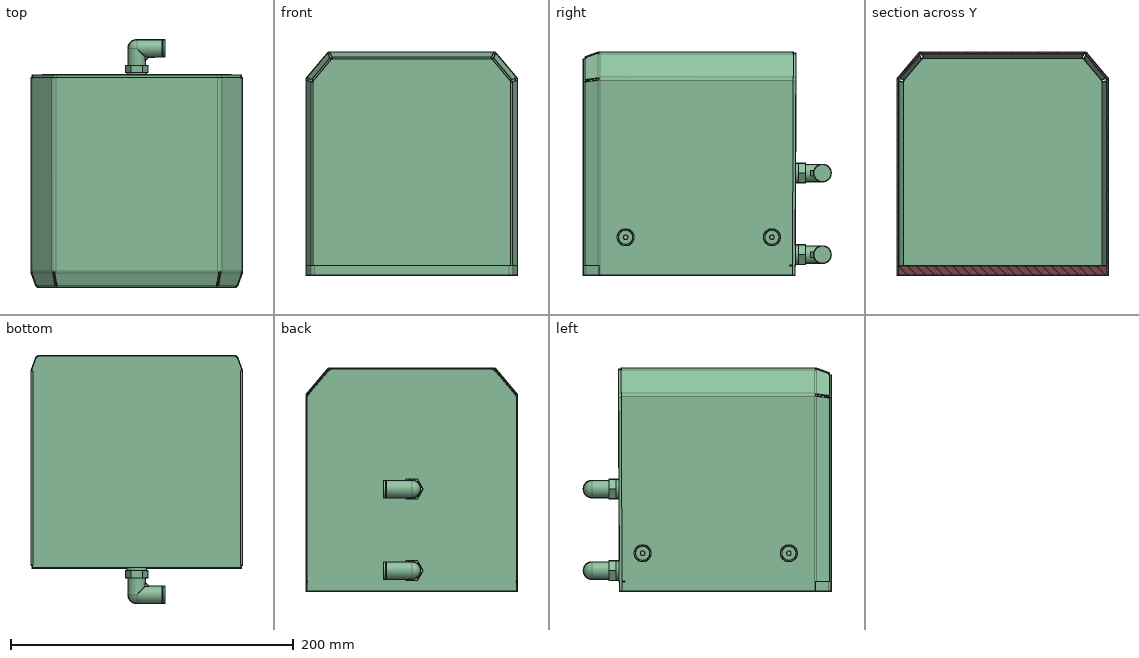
import cadquery as cq
import math

width = 150.0
height = 158.21
shoulder_width = 16.0
shoulder_height = 19.0
wall = 1.5

nose_depth = 11.0
nose_taper = 20.0
body_fillet = 4.0
nose_gap = 1.6
flap_setback = 1.1
front_panel_thickness = 2.5
strip_fillet = 3.0

floor_height = 7.0
cover_depth = 148.0
back_lean = 0.25
back_plate_thickness = 2.0
back_plate_inset = 1.0

recess_positions = (30.0, 133.5)
recess_z = 27.0
recess_diameter = 12.0
recess_floor_diameter = 10.0
recess_depth = 0.4
socket_diameter = 3.2
socket_depth = 1.3

slit_length = 1.7
slit_height = 0.6

fitting_heights = (14.7, 72.4)
fitting_reach = 175.52
tube_diameter = 12.5
tube_end_x = 20.0
tube_groove_x = 17.9
tube_groove_width = 0.5
tube_groove_depth = 0.15
collar_diameter = 14.0
hex_across_flats = 14.0
hex_turn = 30.0
hex_start = 152.2
hex_end = 157.3
web_size = 2.2
web_thickness = 4.0

half_width = width / 2
lean_offset = height * math.tan(math.radians(back_lean))
skirt = 2 * nose_depth
block_depth = cover_depth + 10 * back_plate_thickness
taper_angle = math.radians(nose_taper)
flap_tip_inset = (nose_depth - flap_setback) * math.tan(taper_angle)
flap_end_depth = wall * math.sin(taper_angle)
front_panel_inset = flap_tip_inset + wall * math.cos(taper_angle)
tube_radius = tube_diameter / 2
elbow_y = fitting_reach - tube_radius


def body_outline(y, inset):
    """Closed outline across the body at depth y, drawn in from the outer faces by inset."""
    outline = (
        cq.Workplane("XZ", origin=(0, y, 0))
        .moveTo(-half_width, -skirt)
        .lineTo(-half_width, height - shoulder_height)
        .lineTo(-half_width + shoulder_width, height)
        .lineTo(half_width - shoulder_width, height)
        .lineTo(half_width, height - shoulder_height)
        .lineTo(half_width, -skirt)
        .close()
    )
    return outline.offset2D(-inset, "intersection") if inset else outline


def tapered_block(inset):
    """Sharp-edged body with its tapered nose, every face moved inwards by inset."""
    nose_start = nose_depth + inset * math.tan(math.radians(nose_taper / 2))
    main = body_outline(nose_start, inset).extrude(nose_start - block_depth)
    nose = body_outline(nose_start, inset).extrude(nose_start - inset, taper=nose_taper)
    return main.union(nose)


def slab(y_front, y_back, z_bottom, z_top, slab_width):
    """Upright box centred on X = 0."""
    return (
        cq.Workplane("XY", origin=(0, y_front, z_bottom))
        .box(slab_width, y_back - y_front, z_top - z_bottom, centered=(True, False, False))
    )


def leaning_slab(y_front, y_back):
    """Full-size slab whose back leans outwards; y_back is measured at the underside."""
    return (
        cq.Workplane("YZ")
        .polyline([
            (y_front, 0),
            (y_back, 0),
            (y_back + lean_offset, height),
            (y_front, height),
        ])
        .close()
        .extrude(half_width, both=True)
    )


def screw_recesses():
    """Conical recesses with a blind central socket in both side walls of the cover."""
    cutters = cq.Workplane("XY")
    for y in recess_positions:
        for side in (-1, 1):
            profile = (
                cq.Workplane("XY")
                .polyline([
                    (0, 0),
                    (recess_diameter / 2, 0),
                    (recess_floor_diameter / 2, recess_depth),
                    (socket_diameter / 2, recess_depth),
                    (socket_diameter / 2, socket_depth),
                    (0, socket_depth),
                ])
                .close()
                .revolve(360, (0, 0, 0), (0, 1, 0))
            )
            cutters = cutters.add(
                profile.rotate((0, 0, 0), (0, 0, 1), 90 * side)
                .translate((side * half_width, y, recess_z))
            )
    return cutters.combine()


def rounded_cover_block():
    """Outer shape of the cover: rounded bends along the body and where the nose starts."""
    block = tapered_block(0)

    def is_bend(edge):
        y = edge.Center().y
        below_floor = edge.BoundingBox().zmax < 0
        return nose_depth - 1 < y < block_depth - 1 and not below_floor

    bends = [edge for edge in block.edges().vals() if is_bend(edge)]
    return block.newObject(bends).fillet(body_fillet)


def front_groove():
    """Space around the front panel, bounded behind by the square-cut ends of the nose flaps."""
    rim = slab(0, flap_setback, -skirt, height, width)
    flap_ends = body_outline(flap_setback, flap_tip_inset).extrude(-flap_end_depth, taper=90 - nose_taper)
    panel = body_outline(0, front_panel_inset).extrude(-nose_depth)
    return rim.union(flap_ends).cut(panel)


def nose_gaps():
    """Thin slots that separate the top, shoulder and side flaps along the nose ridges."""
    shoulder_slope = math.degrees(math.atan2(shoulder_height, shoulder_width))
    top_corner = (half_width - shoulder_width, height, 90 - shoulder_slope / 2)
    side_corner = (half_width, height - shoulder_height, (90 - shoulder_slope) / 2)
    reach = front_panel_inset
    cutters = cq.Workplane("XY")
    for x, z, bisector_angle in (top_corner, side_corner):
        slot = (
            cq.Workplane("XY")
            .box(2 * reach, nose_depth, nose_gap)
            .rotate((0, 0, 0), (0, 1, 0), -bisector_angle)
            .translate((x, nose_depth / 2, z))
        )
        cutters = cutters.add(slot).add(slot.mirror("YZ"))
    return cutters.combine()


def make_cover():
    """Hollow hood, open at the back and below, whose side walls reach down past the floor."""
    cavity = tapered_block(wall).cut(slab(0, front_panel_thickness, -skirt, height, width))
    cover = rounded_cover_block().intersect(leaning_slab(0, cover_depth))
    cover = cover.cut(cavity).cut(front_groove()).cut(nose_gaps())
    cover = cover.cut(slab(0, nose_depth, 0, floor_height, width))
    slits = slab(
        cover_depth - slit_length, block_depth,
        floor_height - slit_height / 2, floor_height + slit_height / 2, width,
    )
    return cover.cut(slits).cut(screw_recesses())


def make_floor():
    """Floor between the cover's side walls, with the strip that completes the nose."""
    strip = tapered_block(0).intersect(slab(0, nose_depth, 0, floor_height, width))
    front_corners = [edge for edge in strip.edges("|Z").vals() if round(edge.Center().y, 3) == 0]
    strip = strip.newObject(front_corners).fillet(strip_fillet)
    floor = tapered_block(wall).intersect(slab(nose_depth, block_depth, 0, floor_height, width))
    return strip.union(floor.intersect(leaning_slab(0, cover_depth)))


def make_back_plate():
    """Leaning plate over the open back of the cover, slightly smaller than the cover."""
    plate = body_outline(0, back_plate_inset).extrude(-block_depth)
    bends = [edge for edge in plate.edges("|Y").vals() if edge.Center().z > 0]
    plate = plate.newObject(bends).fillet(body_fillet)
    y_back = cover_depth + back_plate_thickness
    return plate.intersect(leaning_slab(0, y_back).cut(leaning_slab(0, cover_depth)))


def make_fitting(z):
    """Elbow fitting: collar, hexagon, and a tube that turns from +Y to +X."""
    def cylinder(diameter, y_start, y_end):
        return cq.Workplane("XZ", origin=(0, y_start, z)).circle(diameter / 2).extrude(y_start - y_end)

    collar = cylinder(collar_diameter, cover_depth, hex_start)
    hexagon = (
        cq.Workplane("XZ", origin=(0, hex_start, z))
        .transformed(rotate=(0, 0, hex_turn))
        .polygon(6, hex_across_flats, circumscribed=True)
        .extrude(hex_start - hex_end)
    )
    riser = cylinder(tube_diameter, hex_end, elbow_y)
    corner = cq.Workplane("XY", origin=(0, elbow_y, z)).sphere(tube_radius)
    outlet = cq.Workplane("YZ", origin=(0, elbow_y, z)).circle(tube_radius).extrude(tube_end_x)
    groove = (
        cq.Workplane("YZ", origin=(tube_groove_x, elbow_y, z))
        .circle(tube_radius)
        .circle(tube_radius - tube_groove_depth)
        .extrude(tube_groove_width)
    )
    web_corner = tube_radius + web_size
    web = (
        cq.Workplane("XY", origin=(0, elbow_y, z))
        .polyline([(0, 0), (0, -web_corner), (tube_radius, -web_corner),
                   (web_corner, -tube_radius), (web_corner, 0)])
        .close()
        .extrude(web_thickness / 2, both=True)
    )
    return collar.union(hexagon).union(riser).union(corner).union(outlet.cut(groove)).union(web)


def make_base():
    """Floor, back plate and both elbow fittings as one solid."""
    base = make_floor().union(make_back_plate())
    for z in fitting_heights:
        base = base.union(make_fitting(z).cut(leaning_slab(0, cover_depth)))
    return base


cover = make_cover()
base = make_base()

result = cq.Compound.makeCompound([cover.solids().val(), base.solids().val()])